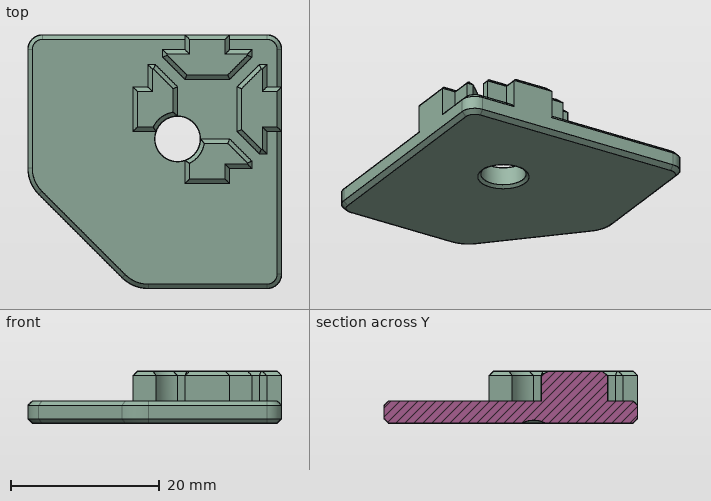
import cadquery as cq
import math


profile_width = 20.0
bevel_leg = profile_width / math.sqrt(2)
plate_side = profile_width + bevel_leg
plate_thickness = 3.0
corner_radius = 2.0
bevel_corner_radius = 5.0
edge_chamfer = 0.6

lobe_height = 4.0
lobe_root_depth = 1.0
stem_half_width = 3.0
inner_distance = 4.0
wing_half_span = 6.0
wing_outer_distance = 8.0

hole_diameter = 6.1
hole_offset = 4.0
hole_chamfer = 0.4

plate_max = profile_width / 2
plate_min = plate_max - plate_side
bevel_end = plate_min + bevel_leg
total_height = plate_thickness + lobe_height


def make_hole():
    return (
        cq.Workplane("XY")
        .center(-hole_offset, -hole_offset)
        .circle(hole_diameter / 2)
        .extrude(total_height)
    )


def make_plate():
    outline = [
        (plate_max, plate_max),
        (plate_min, plate_max),
        (plate_min, bevel_end),
        (bevel_end, plate_min),
        (plate_max, plate_min),
    ]
    plate = cq.Workplane("XY").polyline(outline).close().extrude(plate_thickness)
    bevel_middle = ((plate_min + bevel_end) / 2, (plate_min + bevel_end) / 2, plate_thickness / 2)
    bevel_face = cq.selectors.NearestToPointSelector(bevel_middle)
    plate = plate.faces(bevel_face).edges("|Z").fillet(bevel_corner_radius)
    square_corners = [
        (plate_max, plate_max),
        (plate_min, plate_max),
        (plate_max, plate_min),
    ]
    for x, y in square_corners:
        corner_edge = cq.selectors.NearestToPointSelector((x, y, plate_thickness / 2))
        plate = plate.edges(corner_edge).fillet(corner_radius)
    plate = plate.faces("<Z or >Z").edges().chamfer(edge_chamfer)
    lower_hole_rim = cq.selectors.NearestToPointSelector((-hole_offset, -hole_offset, 0))
    return plate.cut(make_hole()).edges(lower_hole_rim).chamfer(hole_chamfer)


def make_lobe(angle, has_left_wing, has_right_wing):
    """One lobe, turned about the profile centre; at angle 0 its stem points along +Y."""
    wing_inner_distance = inner_distance + wing_half_span - stem_half_width
    stem_side = [
        (stem_half_width, inner_distance),
        (stem_half_width, profile_width / 2),
    ]
    winged_side = [
        (stem_half_width, inner_distance),
        (wing_half_span, wing_inner_distance),
        (wing_half_span, wing_outer_distance),
        (stem_half_width, wing_outer_distance),
        (stem_half_width, profile_width / 2),
    ]
    right_side = winged_side if has_right_wing else stem_side
    left_side = winged_side if has_left_wing else stem_side
    mirrored_left = [(-x, y) for x, y in reversed(left_side)]
    lobe = (
        cq.Workplane("XY")
        .workplane(offset=plate_thickness - lobe_root_depth)
        .polyline(right_side + mirrored_left)
        .close()
        .extrude(lobe_root_depth + lobe_height)
        .rotate((0, 0, 0), (0, 0, 1), angle)
    )
    return lobe.cut(make_hole()).faces(">Z").edges().chamfer(edge_chamfer)


lobes = [
    make_lobe(angle=0, has_left_wing=True, has_right_wing=True),
    make_lobe(angle=90, has_left_wing=False, has_right_wing=True),
    make_lobe(angle=180, has_left_wing=True, has_right_wing=False),
    make_lobe(angle=270, has_left_wing=True, has_right_wing=True),
]

result = make_plate()
for lobe in lobes:
    result = result.union(lobe)